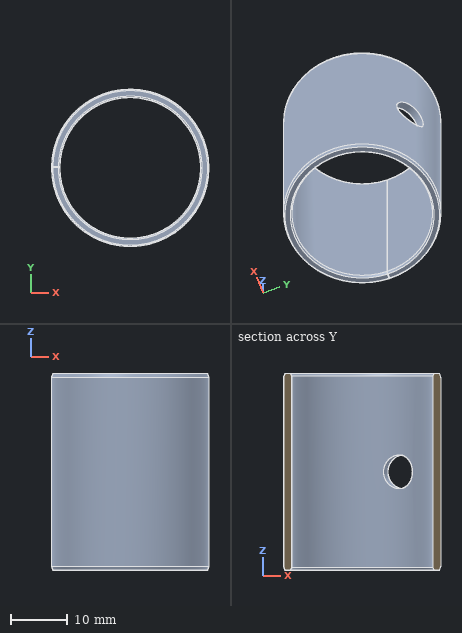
import cadquery as cq

length = 35.0
outer_diameter = 28.0
wall = 1.5
outer_chamfer_height = 0.7
outer_chamfer_depth = 0.25
inner_chamfer_height = 0.5
inner_chamfer_depth = 0.28
slit_width = 0.1
slit_offset = 0.15
oil_hole_diameter = 6.0
oil_hole_angle = 58.5

outer_radius = outer_diameter / 2
inner_radius = outer_radius - wall


def bushing_wall():
    """Revolve the wall section, chamfered at all four corners, about Z."""
    profile = [
        (inner_radius + inner_chamfer_depth, 0),
        (outer_radius - outer_chamfer_depth, 0),
        (outer_radius, outer_chamfer_height),
        (outer_radius, length - outer_chamfer_height),
        (outer_radius - outer_chamfer_depth, length),
        (inner_radius + inner_chamfer_depth, length),
        (inner_radius, length - inner_chamfer_height),
        (inner_radius, inner_chamfer_height),
    ]
    return cq.Workplane("XZ").polyline(profile).close().revolve(360, (0, 0), (0, 1))


def slit():
    """Thin full-length cut through the -X side of the wall."""
    return (
        cq.Workplane("XY")
        .center(-outer_radius / 2, slit_offset)
        .rect(outer_radius, slit_width)
        .extrude(length)
    )


def oil_hole():
    """Radial hole through one side of the wall at mid-length."""
    return (
        cq.Workplane("YZ")
        .center(0, length / 2)
        .circle(oil_hole_diameter / 2)
        .extrude(outer_diameter)
        .rotate((0, 0, 0), (0, 0, 1), oil_hole_angle)
    )


result = bushing_wall().cut(slit()).cut(oil_hole())